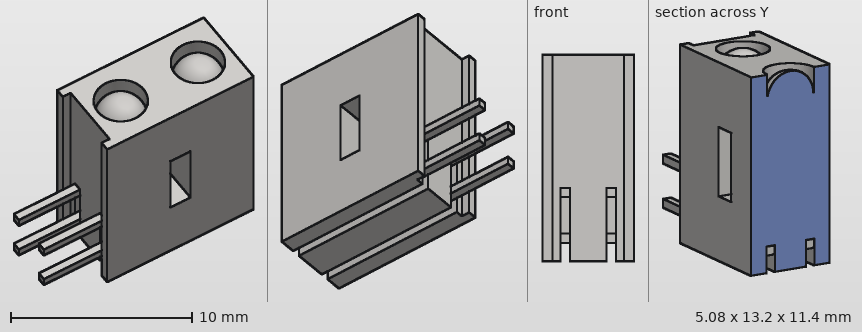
import cadquery as cq

overall_length = 13.15
width = 5.08
height = 11.43
depth = 9.64
rail_width = 0.57
rail_depth = 0.51

window_width = 1.32
window_height = 3.97

lamp_diameter = 3.0
lamp_radius = lamp_diameter / 2
lamp_pitch = width
block_centre_y = (rail_depth + depth) / 2
front_lamp_y = block_centre_y - lamp_pitch / 2
rear_lamp_y = block_centre_y + lamp_pitch / 2

lead_size = 0.51
lead_pitch = lamp_pitch / 2
lower_lead_z = 1.28
upper_lead_z = lower_lead_z + lead_pitch
lead_tip_y = depth - overall_length
tall_slot_top = upper_lead_z + lead_size / 2
low_slot_top = lower_lead_z + lead_size / 2


def box(x_size, y_range, z_range, x_centre=0.0):
    """Box centred on x_centre in X, between two limits in Y and in Z."""
    y_size = y_range[1] - y_range[0]
    z_size = z_range[1] - z_range[0]
    corner = (x_centre - x_size / 2, y_range[0], z_range[0])
    return cq.Workplane("XY").box(x_size, y_size, z_size, centered=False).translate(corner)


def make_housing():
    block = box(width, (0, depth), (0, height))
    channel = box(width - 2 * rail_width, (0, rail_depth), (0, height))
    window = box(
        width,
        ((depth - window_width) / 2, (depth + window_width) / 2),
        ((height - window_height) / 2, (height + window_height) / 2),
    )
    return block.cut(channel).cut(window)


def make_lamp_recess(y):
    """Round recess with a hemispherical floor whose crown is level with the top."""
    dome_base_z = height - lamp_radius
    recess = cq.Workplane("XY", origin=(0, y, dome_base_z)).circle(lamp_radius).extrude(lamp_radius)
    dome = cq.Workplane("XY").sphere(lamp_radius).translate((0, y, dome_base_z))
    return recess.cut(dome)


def cut_lead_slot(housing, x):
    """Slot open underneath: tall in front as far as the front lamp, low from there to the back."""
    tall_slot = box(lead_size, (0, front_lamp_y), (0, tall_slot_top), x)
    low_slot = box(lead_size, (0, depth), (0, low_slot_top), x)
    return housing.cut(tall_slot).cut(low_slot)


def make_lead(x, rear_y, z):
    """Straight square lead from the front tip back to a lamp, under its slot ceiling."""
    return box(lead_size, (lead_tip_y, rear_y), (z - lead_size / 2, z + lead_size / 2), x)


result = make_housing()

for lamp_y in (front_lamp_y, rear_lamp_y):
    result = result.cut(make_lamp_recess(lamp_y))

for lead_x in (-lead_pitch / 2, lead_pitch / 2):
    result = cut_lead_slot(result, lead_x)
    result = result.union(make_lead(lead_x, front_lamp_y, upper_lead_z))
    result = result.union(make_lead(lead_x, rear_lamp_y, lower_lead_z))